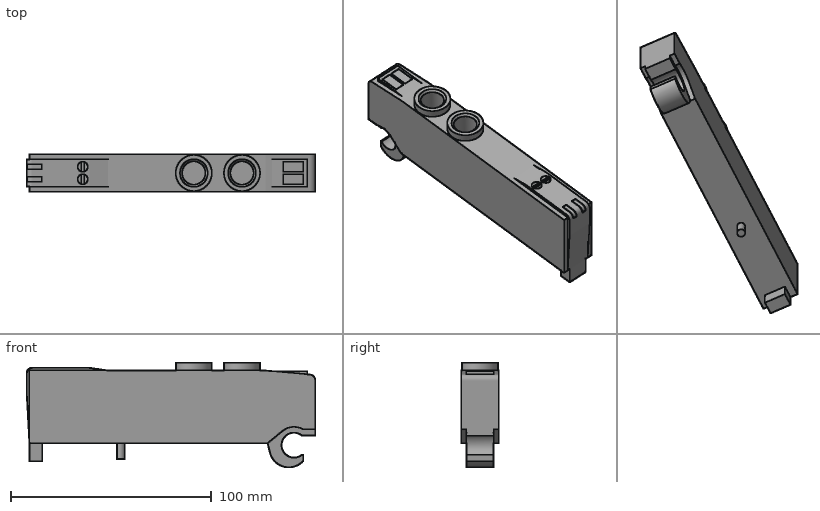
import cadquery as cq
import math


WIDTH = 18.8
INNER_WIDTH = 13.6
HOUSING_TOP = 36.3
OVERALL_LENGTH = 143.8
OVERALL_HEIGHT = 52.22

COVER_THICKNESS = 1.35
COVER_TOP = HOUSING_TOP + COVER_THICKNESS
COVER_FLAT_END = 30.0
COVER_RAMP_END = 39.2
COVER_TAPER_START = 24.7
COVER_EDGE_RADIUS = 2.7
COVER_NOTCH_END = 6.3
COVER_NOTCH_WIDTH = 2.3
COVER_NOTCH_DEPTH = 0.2
COVER_FEATURE_Y = 3.1

SCREW_X = 26.6
SCREW_DIAMETER = 5.0
SCREW_HEAD_DEPTH = 0.1
SCREW_SLOT_WIDTH = 1.3
SCREW_SLOT_DEPTH = 0.6

FOOT_LENGTH = 6.5
FOOT_WIDTH = 11.0
FOOT_DEPTH = 9.0
PIN_X = 45.6
PIN_DIAMETER = 4.0
PIN_DEPTH = 7.9

JOINT_LOWER_X = 62.5
JOINT_UPPER_X = 72.4
JOINT_STEP_LOW = 29.5
JOINT_STEP_HIGH = 32.0

HOOK_BOTTOM = -12.0
HOOK_ROOT_X = 118.6
HOOK_TIP_X = 136.4
RAIL_X = 131.8
RAIL_Z = -0.9
RAIL_RADIUS = 6.15
MOUTH_HALF_HEIGHT = 4.7
RELIEF_RADIUS = 9.1
HOOK_OUTER_X = 129.2
HOOK_OUTER_RADIUS = 9.7

END_X = OVERALL_LENGTH - COVER_THICKNESS
END_CAP_X = HOOK_TIP_X
SLOPE_START_X = 117.5
SLOPE_DROP = 1.7
SLOPE = SLOPE_DROP / (END_CAP_X - SLOPE_START_X)
END_RADIUS = 3.0

PLATE_START_X = 120.9
PLATE_END_X = 138.4
PLATE_TOP = HOUSING_TOP - SLOPE * (PLATE_START_X - SLOPE_START_X)
WINDOW_START_X = 126.4
WINDOW_END_X = END_CAP_X
WINDOW_WIDTH = 5.0
WINDOW_Y = 3.05
WINDOW_DEPTH = 0.1

PORT_X = 81.9
PORT_PITCH = 24.0
PORT_DIAMETER = 18.0
PORT_TOP = HOOK_BOTTOM + OVERALL_HEIGHT
BORE_DIAMETER = 11.6
BORE_MOUTH_DIAMETER = 13.8
BORE_CHAMFER = (BORE_MOUTH_DIAMETER - BORE_DIAMETER) / 2
BORE_DEPTH = 15.0


def profile(x, z):
    """Start an X-Z outline; extrude it with both=True to centre it on Y = 0."""
    return cq.Workplane("XZ").moveTo(x, z)


def box(x_start, x_end, width, z_bottom, z_top, y=0):
    """Box centred on y with the given X and Z limits."""
    return (
        cq.Workplane("XY", origin=((x_start + x_end) / 2, y, z_bottom))
        .rect(x_end - x_start, width)
        .extrude(z_top - z_bottom)
    )


def cylinder(x, y, diameter, z_bottom, z_top):
    return cq.Workplane("XY", origin=(x, y, z_bottom)).circle(diameter / 2).extrude(z_top - z_bottom)


def point_on_circle(x, z, radius, angle):
    return (x + radius * math.cos(angle), z + radius * math.sin(angle))


def make_cover():
    cover = (
        profile(0, 0)
        .lineTo(-COVER_THICKNESS, COVER_TAPER_START)
        .lineTo(-COVER_THICKNESS, COVER_TOP - COVER_EDGE_RADIUS)
        .radiusArc((COVER_EDGE_RADIUS - COVER_THICKNESS, COVER_TOP), COVER_EDGE_RADIUS)
        .lineTo(COVER_FLAT_END, COVER_TOP)
        .lineTo(COVER_RAMP_END, HOUSING_TOP)
        .lineTo(COVER_RAMP_END, 0)
        .close()
        .extrude(INNER_WIDTH / 2, both=True)
    )
    return cover


def cut_cover_notch(body, y):
    """Cut a shallow notch of even depth that follows the rounded cover edge."""
    edge_bottom = COVER_TOP - COVER_EDGE_RADIUS
    notch = box(-COVER_THICKNESS, COVER_NOTCH_END, COVER_NOTCH_WIDTH, edge_bottom, COVER_TOP, y)
    notch_floor = make_cover().translate((COVER_NOTCH_DEPTH, 0, -COVER_NOTCH_DEPTH))
    return body.cut(notch.cut(notch_floor))


def cut_screw(body, y):
    head_top = COVER_TOP - SCREW_HEAD_DEPTH
    slot_floor = COVER_TOP - SCREW_SLOT_DEPTH
    slot_start = SCREW_X - SCREW_SLOT_WIDTH / 2
    slot_end = SCREW_X + SCREW_SLOT_WIDTH / 2
    head_recess = cylinder(SCREW_X, y, SCREW_DIAMETER, head_top, COVER_TOP)
    head = cylinder(SCREW_X, y, SCREW_DIAMETER, slot_floor, COVER_TOP)
    slot = head.intersect(box(slot_start, slot_end, SCREW_DIAMETER, slot_floor, COVER_TOP, y))
    return body.cut(head_recess).cut(slot)


def make_pilot_housing():
    housing = (
        profile(0, 0)
        .lineTo(JOINT_LOWER_X, 0)
        .lineTo(JOINT_LOWER_X, JOINT_STEP_LOW)
        .lineTo(JOINT_UPPER_X, JOINT_STEP_HIGH)
        .lineTo(JOINT_UPPER_X, HOUSING_TOP)
        .lineTo(0, HOUSING_TOP)
        .close()
        .extrude(WIDTH / 2, both=True)
    )
    housing = housing.union(make_cover())
    for y in (-COVER_FEATURE_Y, COVER_FEATURE_Y):
        housing = cut_cover_notch(housing, y)
        housing = cut_screw(housing, y)
    foot = box(0, FOOT_LENGTH, FOOT_WIDTH, -FOOT_DEPTH, 0)
    pin = cylinder(PIN_X, 0, PIN_DIAMETER, -PIN_DEPTH, 0)
    return housing.union(foot).union(pin)


def make_port_block():
    """Full-width block, with its lower right corner relieved around the hook."""
    relief_end = (END_CAP_X, RAIL_Z + math.sqrt(RELIEF_RADIUS**2 - (END_CAP_X - RAIL_X) ** 2))
    reach = math.hypot(RAIL_X - HOOK_ROOT_X, RAIL_Z)
    tangent_angle = math.atan2(-RAIL_Z, HOOK_ROOT_X - RAIL_X) - math.acos(RELIEF_RADIUS / reach)
    tangent_point = point_on_circle(RAIL_X, RAIL_Z, RELIEF_RADIUS, tangent_angle)
    end_top = HOUSING_TOP - SLOPE * (END_X - SLOPE_START_X)
    return (
        profile(JOINT_LOWER_X, 0)
        .lineTo(HOOK_ROOT_X, 0)
        .lineTo(*tangent_point)
        .threePointArc((RAIL_X, RAIL_Z + RELIEF_RADIUS), relief_end)
        .lineTo(END_X, relief_end[1])
        .lineTo(END_X, end_top)
        .lineTo(SLOPE_START_X, HOUSING_TOP)
        .lineTo(JOINT_UPPER_X, HOUSING_TOP)
        .lineTo(JOINT_UPPER_X, JOINT_STEP_HIGH)
        .lineTo(JOINT_LOWER_X, JOINT_STEP_LOW)
        .close()
        .extrude(WIDTH / 2, both=True)
        .edges(cq.selectors.NearestToPointSelector((END_X, 0, end_top)))
        .fillet(END_RADIUS)
    )


def make_hook():
    """Narrow rail hook, reaching up into the port block."""
    outer_z = HOOK_BOTTOM + HOOK_OUTER_RADIUS
    reach = math.hypot(HOOK_ROOT_X - HOOK_OUTER_X, outer_z)
    tangent_angle = math.atan2(-outer_z, HOOK_ROOT_X - HOOK_OUTER_X) + math.acos(HOOK_OUTER_RADIUS / reach)
    tangent_point = point_on_circle(HOOK_OUTER_X, outer_z, HOOK_OUTER_RADIUS, tangent_angle)
    tip_bottom = outer_z - math.sqrt(HOOK_OUTER_RADIUS**2 - (HOOK_TIP_X - HOOK_OUTER_X) ** 2)
    mouth_x = RAIL_X + math.sqrt(RAIL_RADIUS**2 - MOUTH_HALF_HEIGHT**2)
    mouth_bottom = RAIL_Z - MOUTH_HALF_HEIGHT
    mouth_top = RAIL_Z + MOUTH_HALF_HEIGHT
    hook_root_top = RAIL_Z + RELIEF_RADIUS
    return (
        profile(HOOK_ROOT_X, 0)
        .lineTo(*tangent_point)
        .threePointArc((HOOK_OUTER_X, HOOK_BOTTOM), (HOOK_TIP_X, tip_bottom))
        .lineTo(HOOK_TIP_X, mouth_bottom)
        .lineTo(mouth_x, mouth_bottom)
        .threePointArc((RAIL_X - RAIL_RADIUS, RAIL_Z), (mouth_x, mouth_top))
        .lineTo(END_X, mouth_top)
        .lineTo(END_X, hook_root_top)
        .lineTo(HOOK_ROOT_X, hook_root_top)
        .close()
        .extrude(INNER_WIDTH / 2, both=True)
    )


def make_label_plate():
    """Level plate sunk into the sloping top, with two shallow windows."""
    plate_root = PLATE_TOP - 2 * SLOPE_DROP
    plate = box(PLATE_START_X, PLATE_END_X, INNER_WIDTH, plate_root, PLATE_TOP)
    for y in (-WINDOW_Y, WINDOW_Y):
        window_floor = PLATE_TOP - WINDOW_DEPTH
        plate = plate.cut(box(WINDOW_START_X, WINDOW_END_X, WINDOW_WIDTH, window_floor, PLATE_TOP, y))
    return plate


def add_port(body, x):
    collar = cylinder(x, 0, PORT_DIAMETER, HOUSING_TOP, PORT_TOP)
    bore = (
        profile(x, PORT_TOP)
        .lineTo(x + BORE_MOUTH_DIAMETER / 2, PORT_TOP)
        .lineTo(x + BORE_DIAMETER / 2, PORT_TOP - BORE_CHAMFER)
        .lineTo(x + BORE_DIAMETER / 2, PORT_TOP - BORE_DEPTH)
        .lineTo(x, PORT_TOP - BORE_DEPTH)
        .close()
        .revolve(360, (x, 0), (x, 1))
    )
    return body.union(collar).cut(bore)


def make_port_housing():
    housing = make_port_block().union(make_hook())
    for x in (PORT_X, PORT_X + PORT_PITCH):
        housing = add_port(housing, x)
    return housing


port_housing = make_port_housing()
end_cap = port_housing.intersect(box(END_CAP_X, END_X, WIDTH, 0, HOUSING_TOP))
port_housing = port_housing.cut(end_cap)

result = make_pilot_housing()
for piece in (port_housing, end_cap, make_label_plate()):
    result = result.union(piece, clean=False)